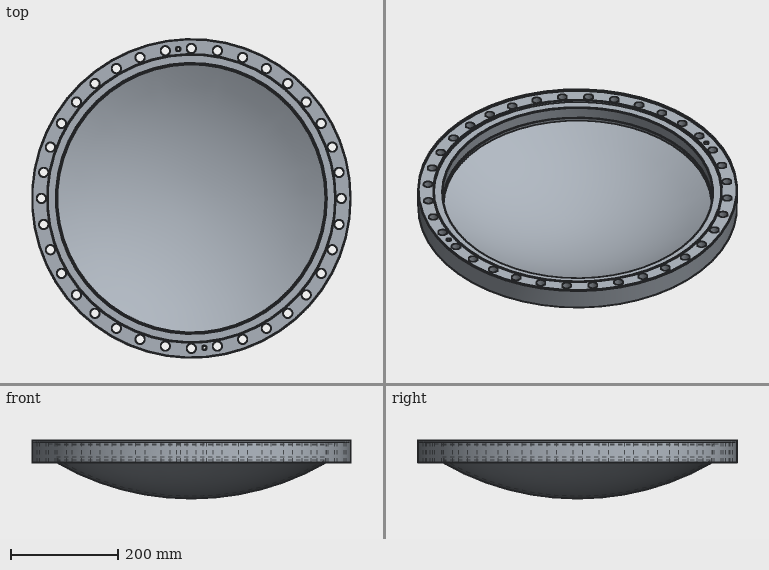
import cadquery as cq
import math

flange_radius = 297.5
flange_thickness = 42.5
bottom_edge_chamfer = 1.0
bore_radius = 251.5
bore_edge_chamfer = 1.5

bolt_face_depth = 3.5
bolt_face_z = flange_thickness - bolt_face_depth
rim_width = 1.5
rim_inner_radius = flange_radius - rim_width
ridge_inner_radius = 267.5
ridge_width = 2.0
ridge_outer_radius = ridge_inner_radius + ridge_width
ridge_height = 1.0
ridge_top_z = bolt_face_z + ridge_height

recess_depth = 3.3
recess_floor_z = bolt_face_z - recess_depth

seat_ledge_width = 2.0
seat_radius = bore_radius - seat_ledge_width
seat_ledge_z = 12.0

bolt_circle_radius = 279.5
bolt_count = 36
bolt_hole_diameter = 17.0
bolt_pitch_angle = 360 / bolt_count
small_hole_diameter = 6.8
small_hole_countersink_diameter = 9.0
countersink_angle = 90
small_hole_angles = [90 + bolt_pitch_angle / 2, 270 + bolt_pitch_angle / 2]

overall_height = 109.1
head_depth = overall_height - flange_thickness
head_thickness = 5.0
head_edge_radius = seat_radius
outer_sphere_radius = (head_edge_radius**2 + head_depth**2) / (2 * head_depth)
inner_sphere_radius = outer_sphere_radius - head_thickness
sphere_center_z = outer_sphere_radius - head_depth


def revolve_section(section):
    """Turn a closed radius-height section about the Z axis."""
    return section.close().revolve(360, (0, 0, 0), (0, 1, 0))


def make_flange_ring():
    section = (
        cq.Workplane("XZ")
        .moveTo(seat_radius, 0)
        .lineTo(flange_radius - bottom_edge_chamfer, 0)
        .lineTo(flange_radius, bottom_edge_chamfer)
        .lineTo(flange_radius, flange_thickness)
        .lineTo(rim_inner_radius, flange_thickness)
        .lineTo(rim_inner_radius, bolt_face_z)
        .lineTo(ridge_outer_radius, bolt_face_z)
        .lineTo(ridge_outer_radius, ridge_top_z)
        .lineTo(ridge_inner_radius, ridge_top_z)
        .lineTo(ridge_inner_radius, recess_floor_z)
        .lineTo(bore_radius + bore_edge_chamfer, recess_floor_z)
        .lineTo(bore_radius, recess_floor_z - bore_edge_chamfer)
        .lineTo(bore_radius, seat_ledge_z)
        .lineTo(seat_radius, seat_ledge_z)
    )
    return revolve_section(section)


def make_flange():
    bolt_holes = (
        cq.Workplane("XY")
        .polarArray(bolt_circle_radius, 0, 360, bolt_count)
        .circle(bolt_hole_diameter / 2)
        .extrude(flange_thickness)
    )
    small_hole_centers = [
        (
            bolt_circle_radius * math.cos(math.radians(angle)),
            bolt_circle_radius * math.sin(math.radians(angle)),
        )
        for angle in small_hole_angles
    ]
    flange = make_flange_ring().cut(bolt_holes)
    return (
        flange.copyWorkplane(cq.Workplane("XY", origin=(0, 0, bolt_face_z)))
        .pushPoints(small_hole_centers)
        .cskHole(small_hole_diameter, small_hole_countersink_diameter, countersink_angle)
    )


def sphere_height(sphere_radius, radius):
    """Height of the lower half of a head sphere at a given distance from the Z axis."""
    return sphere_center_z - math.sqrt(sphere_radius**2 - radius**2)


def make_head():
    mid_radius = head_edge_radius / 2
    section = (
        cq.Workplane("XZ")
        .moveTo(0, sphere_height(outer_sphere_radius, 0))
        .threePointArc(
            (mid_radius, sphere_height(outer_sphere_radius, mid_radius)),
            (head_edge_radius, sphere_height(outer_sphere_radius, head_edge_radius)),
        )
        .lineTo(head_edge_radius, sphere_height(inner_sphere_radius, head_edge_radius))
        .threePointArc(
            (mid_radius, sphere_height(inner_sphere_radius, mid_radius)),
            (0, sphere_height(inner_sphere_radius, 0)),
        )
    )
    return revolve_section(section)


flange = make_flange()
head = make_head()
result = cq.Compound.makeCompound([flange.val(), head.val()])